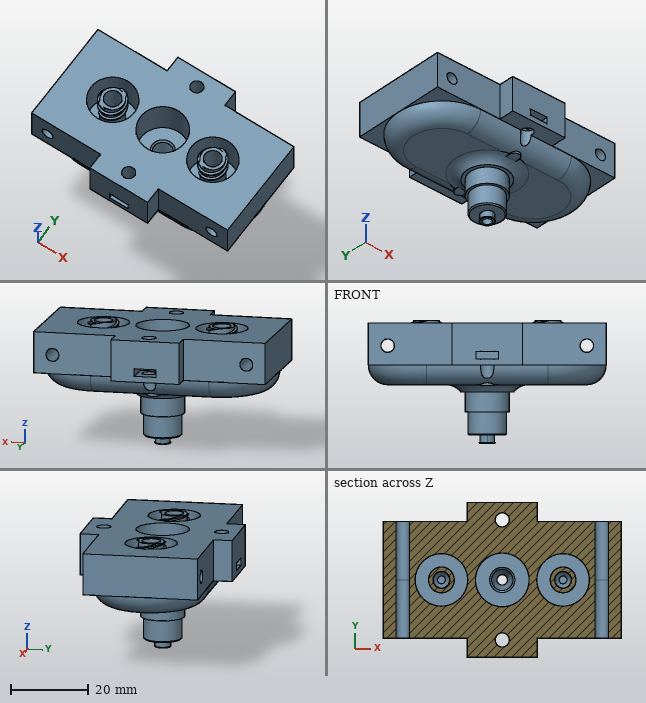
import cadquery as cq
import math

plate_length = 61.44
plate_width = 30.2
plate_thickness = 10.9
tab_width = 18.1
tab_span = 40.0

port_spacing = 31.4
body_radius = 15.0
body_depth = 5.1
body_edge_land = 0.01

pad_width = 3.4
pad_length = 24.4
pad_thickness = 0.2

flare_radius = 5.0
flare_depth = 1.9
collar_diameter = 11.4
collar_length = 5.1
plug_diameter = 9.97
plug_length = 6.0
plug_chamfer = 0.35
tip_diameter = 4.2
tip_chamfer = 0.15
tip_lip_height = 0.2
tip_waist_width = 3.85
overall_height = 31.7

post_protrusion = 0.6
post_core_diameter = 6.7
thread_diameter = 7.9
thread_root_diameter = 6.3
thread_lead = 5.0
thread_turns = 1.0
thread_root_half_angle = 35.0
thread_crest_half_angle = 15.0
thread_end_angle = -20.0
post_bore_diameter = 4.8
post_bore_inner_diameter = 4.2
post_bore_depth = 8.0
post_cone_depth = 2.0
channel_diameter = 2.0
channel_depth = 2.0
side_bore_diameter = 13.5

center_bore_diameter = 13.8
funnel_top_diameter = 6.5
funnel_mid_diameter = 5.5
funnel_taper_depth = 0.5
funnel_cone_depth = 5.0
outlet_diameter = 2.63

tab_hole_diameter = 3.6
tab_hole_offset = 15.5
cross_hole_diameter = 3.4
cross_hole_offset = 25.7
cross_hole_height = 5.0
nut_slot_width = 5.75
nut_slot_height = 2.0
nut_slot_bottom = 1.55
nut_slot_depth = 7.4

body_edge_radius = body_depth - body_edge_land
embed_depth = body_depth / 2
post_top = plate_thickness + post_protrusion
stem_bottom = post_top - overall_height
flare_bottom = -body_depth - flare_depth
collar_bottom = flare_bottom - collar_length
plug_bottom = collar_bottom - plug_length
port_positions = [(-port_spacing / 2, 0), (port_spacing / 2, 0)]


def cylinder(diameter, bottom, top, points=((0, 0),)):
    """Vertical cylinders between two levels."""
    base = cq.Workplane("XY").workplane(offset=bottom)
    return base.pushPoints(points).circle(diameter / 2).extrude(top - bottom)


def make_plate():
    main = cq.Workplane("XY").rect(plate_length, plate_width).extrude(plate_thickness)
    tabs = cq.Workplane("XY").rect(tab_width, tab_span).extrude(plate_thickness)
    return main.union(tabs)


def make_body():
    """Rounded-end body below the plate with a full-depth bottom fillet."""
    length = port_spacing + 2 * body_radius
    body = cq.Workplane("XY").slot2D(length, 2 * body_radius).extrude(-body_depth)
    body = body.faces("<Z").edges().fillet(body_edge_radius)
    pad = (
        cq.Workplane("XY")
        .workplane(offset=-body_depth - pad_thickness)
        .slot2D(pad_length, pad_width, 90)
        .extrude(embed_depth + pad_thickness)
    )
    return body.union(pad)


def make_stem():
    """Concave flare, collar, plug and tip as one revolved profile."""
    collar_radius = collar_diameter / 2
    plug_radius = plug_diameter / 2
    tip_radius = tip_diameter / 2
    center_radius = collar_radius + flare_radius
    center_z = -body_depth - flare_radius
    end_angle = math.asin((flare_radius - flare_depth) / flare_radius)
    mid_angle = (end_angle + math.pi / 2) / 2

    def flare_point(angle):
        point_radius = center_radius - flare_radius * math.cos(angle)
        return point_radius, center_z + flare_radius * math.sin(angle)

    profile = (
        cq.Workplane("XZ")
        .moveTo(0, -embed_depth)
        .lineTo(center_radius, -embed_depth)
        .lineTo(center_radius, -body_depth)
        .threePointArc(flare_point(mid_angle), flare_point(end_angle))
        .lineTo(collar_radius, flare_bottom)
        .lineTo(collar_radius, collar_bottom)
        .lineTo(plug_radius, collar_bottom)
        .lineTo(plug_radius, plug_bottom + plug_chamfer)
        .lineTo(plug_radius - plug_chamfer, plug_bottom)
        .lineTo(tip_radius, plug_bottom)
        .lineTo(tip_radius, stem_bottom + tip_chamfer)
        .lineTo(tip_radius - tip_chamfer, stem_bottom)
        .lineTo(0, stem_bottom)
        .close()
    )
    stem = profile.revolve(360, (0, 0, 0), (0, 1, 0))
    return stem.cut(make_tip_waist())


def make_tip_waist():
    """Cutter that leaves the tip lens-shaped above its round lip, with ridges facing -Y and +Y."""
    half_width = tip_waist_width / 2
    ridge = tip_diameter / 2
    lip_top = stem_bottom + tip_lip_height
    lens = (
        cq.Workplane("XY")
        .workplane(offset=lip_top)
        .moveTo(0, -ridge)
        .threePointArc((half_width, 0), (0, ridge))
        .threePointArc((-half_width, 0), (0, -ridge))
        .close()
        .extrude(plug_bottom - lip_top)
    )
    return cylinder(plug_diameter, lip_top, plug_bottom).cut(lens)


def polar_offset(diameter, angle):
    """Point on a circle at an angle, in degrees, from the +Y axis."""
    radius = diameter / 2
    return radius * math.sin(math.radians(angle)), radius * math.cos(math.radians(angle))


def make_thread():
    """Two-start thread with sloped flanks: a twisted bar with pointed ends, trimmed to the crest diameter."""
    height = thread_lead * thread_turns
    root_x, root_y = polar_offset(thread_root_diameter, thread_root_half_angle)
    crest_x, crest_y = polar_offset(thread_diameter, thread_crest_half_angle)
    apex_y = crest_y + crest_x * (crest_y - root_y) / (root_x - crest_x)
    bar = (
        cq.Workplane("XY")
        .polyline([
            (0, apex_y),
            (root_x, root_y),
            (root_x, -root_y),
            (0, -apex_y),
            (-root_x, -root_y),
            (-root_x, root_y),
        ])
        .close()
        .twistExtrude(height, 360 * thread_turns)
    )
    thread = cylinder(thread_diameter, 0, height).intersect(bar)
    thread = thread.rotate((0, 0, 0), (0, 0, 1), thread_end_angle)
    return thread.translate((0, 0, post_top - height))


def make_posts():
    posts = cylinder(post_core_diameter, -embed_depth, post_top, port_positions)
    thread = make_thread()
    for x, y in port_positions:
        posts = posts.union(thread.translate((x, y, 0)))
    return posts


def funnel(top, sections):
    """Revolved cutter from (diameter, depth below top) pairs."""
    profile = cq.Workplane("XZ").moveTo(0, top)
    for diameter, depth in sections:
        profile = profile.lineTo(diameter / 2, top - depth)
    profile = profile.lineTo(0, top - sections[-1][1]).close()
    return profile.revolve(360, (0, 0, 0), (0, 1, 0))


def make_post_bore():
    cone_bottom = post_bore_depth + post_cone_depth
    return funnel(
        post_top,
        [
            (post_bore_diameter, 0),
            (post_bore_inner_diameter, post_bore_depth),
            (channel_diameter, cone_bottom),
            (channel_diameter, cone_bottom + channel_depth),
        ],
    )


def make_center_funnel():
    return funnel(
        0,
        [
            (funnel_top_diameter, 0),
            (funnel_mid_diameter, funnel_taper_depth),
            (outlet_diameter, funnel_taper_depth + funnel_cone_depth),
            (outlet_diameter, -stem_bottom),
        ],
    )


def make_mounting_cuts():
    tab_points = [(0, -tab_hole_offset), (0, tab_hole_offset)]
    cuts = cylinder(tab_hole_diameter, -body_depth, plate_thickness, tab_points)
    cross_points = [(-cross_hole_offset, cross_hole_height), (cross_hole_offset, cross_hole_height)]
    cross = cq.Workplane("XZ").pushPoints(cross_points).circle(cross_hole_diameter / 2)
    cuts = cuts.union(cross.extrude(tab_span / 2, both=True))
    slot_y = (tab_span - nut_slot_depth) / 2
    slots = (
        cq.Workplane("XY")
        .workplane(offset=nut_slot_bottom)
        .pushPoints([(0, -slot_y), (0, slot_y)])
        .rect(nut_slot_width, nut_slot_depth)
        .extrude(nut_slot_height)
    )
    return cuts.union(slots)


result = make_plate().union(make_body()).union(make_stem())
result = result.cut(cylinder(side_bore_diameter, 0, plate_thickness, port_positions))
result = result.cut(cylinder(center_bore_diameter, 0, plate_thickness))
result = result.union(make_posts())
for x, y in port_positions:
    result = result.cut(make_post_bore().translate((x, y, 0)))
result = result.cut(make_center_funnel()).cut(make_mounting_cuts())